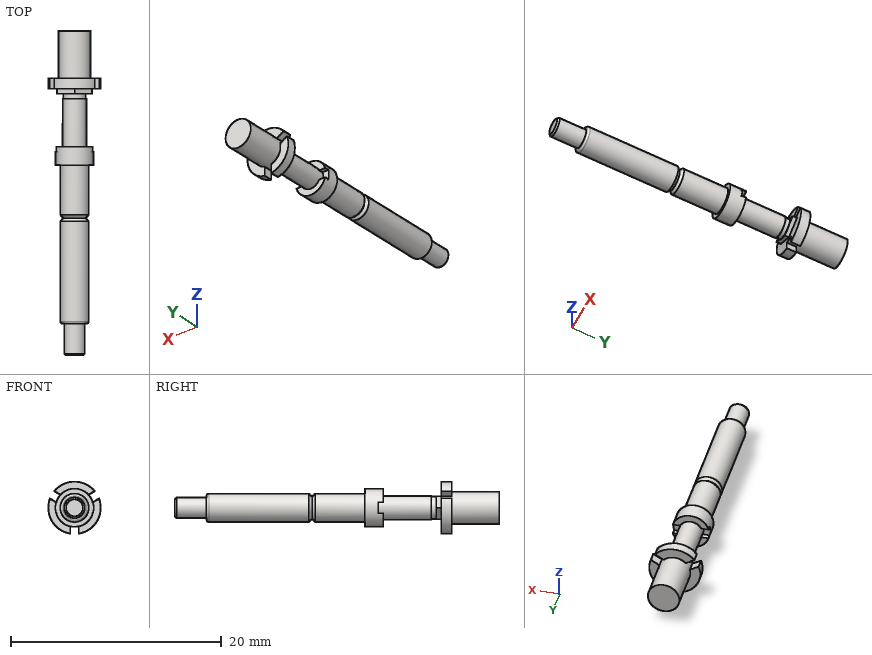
import cadquery as cq

total_length = 30.8
rear_y = total_length / 2
shank_length = 4.5
flange_thickness = 1.02
lug_thickness = 0.45
relief_length = 0.45
neck_length = 4.55
collar_thickness = 1.75
groove_middle_y = -2.37
groove_width = 0.62
barrel_end_y = -12.38
tip_y = -total_length / 2

flange_rear_y = rear_y - shank_length
flange_front_y = flange_rear_y - flange_thickness
lug_front_y = flange_front_y - lug_thickness
neck_rear_y = lug_front_y - relief_length
collar_rear_y = neck_rear_y - neck_length
collar_front_y = collar_rear_y - collar_thickness

shank_radius = 1.55
flange_radius = 2.5
relief_radius = 1.08
neck_radius = 1.15
collar_radius = 1.82
barrel_radius = 1.35
tip_radius = 1.0

flange_slot_count = 3
flange_slot_width = 0.8
lug_half_width = 1.65
lug_half_height = 1.1
collar_notch_width = 1.02
collar_notch_depth = 0.5
groove_depth = 0.28
barrel_front_fillet = 0.22
tip_chamfer = 0.2


def cylinder(rear, front, radius):
    """Round section on the Y axis, running from the rear position to the front one."""
    workplane = cq.Workplane("XZ", origin=(0, rear, 0))
    return workplane.circle(radius).extrude(rear - front)


def slotted_flange():
    """Disc with equally spaced radial slots, the first pointing down, cut to the shank surface."""
    flange = cylinder(flange_rear_y, flange_front_y, flange_radius)
    middle_y = (flange_rear_y + flange_front_y) / 2
    slot = (
        cq.Workplane("XY")
        .box(flange_slot_width, flange_thickness, flange_radius)
        .translate((0, middle_y, -flange_radius / 2))
    )
    for index in range(flange_slot_count):
        angle = index * 360 / flange_slot_count
        flange = flange.cut(slot.rotate((0, 0, 0), (0, 1, 0), angle))
    return flange.union(cylinder(flange_rear_y, flange_front_y, shank_radius))


def diamond_lug():
    """Diamond-shaped plate in front of the flange."""
    corners = [
        (lug_half_width, 0),
        (0, lug_half_height),
        (-lug_half_width, 0),
        (0, -lug_half_height),
    ]
    workplane = cq.Workplane("XZ", origin=(0, flange_front_y, 0))
    return workplane.polyline(corners).close().extrude(lug_thickness)


def notched_collar():
    """Collar with a slot across its rear face, open on both X sides."""
    collar = cylinder(collar_rear_y, collar_front_y, collar_radius)
    slot = (
        cq.Workplane("XY")
        .box(2 * collar_radius, collar_notch_depth, collar_notch_width)
        .translate((0, collar_rear_y - collar_notch_depth / 2, 0))
    )
    return collar.cut(slot).union(cylinder(collar_rear_y, collar_front_y, neck_radius))


def barrel():
    """Barrel with a rounded front edge and a V-shaped groove around it."""
    groove_radius = barrel_radius - groove_depth
    profile = [
        (0, collar_front_y),
        (barrel_radius, collar_front_y),
        (barrel_radius, groove_middle_y + groove_width / 2),
        (groove_radius, groove_middle_y),
        (barrel_radius, groove_middle_y - groove_width / 2),
        (barrel_radius, barrel_end_y),
        (0, barrel_end_y),
    ]
    solid = cq.Workplane("XY").polyline(profile).close().revolve(360, (0, 0, 0), (0, 1, 0))
    return solid.faces("<Y").edges().fillet(barrel_front_fillet)


def tip():
    """Plunger tip with a chamfered end."""
    return cylinder(barrel_end_y, tip_y, tip_radius).faces("<Y").chamfer(tip_chamfer)


result = (
    cylinder(rear_y, flange_rear_y, shank_radius)
    .union(slotted_flange())
    .union(diamond_lug())
    .union(cylinder(lug_front_y, neck_rear_y, relief_radius))
    .union(cylinder(neck_rear_y, collar_rear_y, neck_radius))
    .union(notched_collar())
    .union(barrel())
    .union(tip())
)